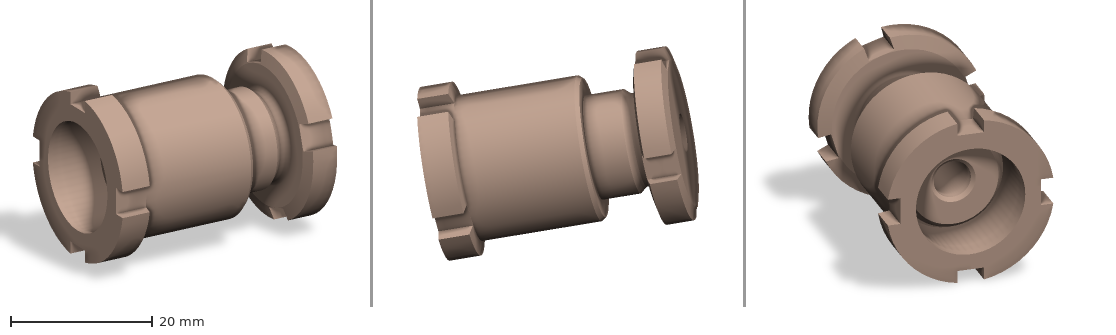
import cadquery as cq
import math

overall_length = 35.93
rim_radius = 12.5
rim_thickness = 5.03
rim_bevel_angle = 15.0
slot_width = 4.0
slot_floor_radius = 10.5
slot_count = 4

sleeve_length = 23.0
sleeve_radius = slot_floor_radius
sleeve_chamfer_length = 0.6
sleeve_chamfer_depth = 0.5
counterbore_radius = 8.15
counterbore_depth = 10.05

shank_radius = 7.5
neck_radius = 6.72
neck_fillet = 0.57
neck_length = 0.8
neck_run_out_length = 0.4
neck_run_out_radius = 6.97
shank_chamfer_length = 0.6
tip_position = 7.75
hole_radius = 2.75
hole_chamfer = 0.55
head_turn_angle = 17.0

bevel_depth = rim_radius - slot_floor_radius
bevel_length = bevel_depth * math.tan(math.radians(rim_bevel_angle))


def revolve_about_y(profile):
    """Turn a closed (radius, y) profile around the Y axis."""
    return profile.close().revolve(360, (0, 0, 0), (0, 1, 0))


def cut_spanner_slots(body, start_y, turn_angle):
    """Cut equally spaced spanner slots through a rim that starts at start_y."""
    slot_depth = rim_radius
    slot = cq.Workplane("XY").box(
        slot_width, rim_thickness, slot_depth, centered=(True, False, False)
    ).translate((0, start_y, slot_floor_radius))
    for index in range(slot_count):
        angle = index * 360 / slot_count - turn_angle
        body = body.cut(slot.rotate((0, 0, 0), (0, 1, 0), angle))
    return body


def make_sleeve():
    """Slotted collar and cylinder with a shank bore and a front counterbore."""
    profile = (
        cq.Workplane("XY")
        .moveTo(counterbore_radius, 0)
        .lineTo(rim_radius, 0)
        .lineTo(rim_radius, rim_thickness - bevel_length)
        .lineTo(sleeve_radius, rim_thickness)
        .lineTo(sleeve_radius, sleeve_length - sleeve_chamfer_length)
        .lineTo(sleeve_radius - sleeve_chamfer_depth, sleeve_length)
        .lineTo(shank_radius, sleeve_length)
        .lineTo(shank_radius, counterbore_depth)
        .lineTo(counterbore_radius, counterbore_depth)
    )
    return cut_spanner_slots(revolve_about_y(profile), 0, 0)


def make_spindle():
    """Slotted head, undercut neck and shank with a through hole; the tip tapers like the neck end."""
    head_front = overall_length - rim_thickness
    head_face_radius = rim_radius - bevel_depth
    neck_end = head_front - neck_fillet
    neck_start = neck_end - neck_length
    run_out_start = neck_start - neck_run_out_length
    shank_end = run_out_start - shank_chamfer_length
    fillet_inset = neck_fillet * (1 - math.sqrt(0.5))
    tip_run_out_end = tip_position + neck_run_out_length
    profile = (
        cq.Workplane("XY")
        .moveTo(hole_radius + hole_chamfer, tip_position)
        .lineTo(neck_radius, tip_position)
        .lineTo(neck_run_out_radius, tip_run_out_end)
        .lineTo(shank_radius, tip_run_out_end + shank_chamfer_length)
        .lineTo(shank_radius, shank_end)
        .lineTo(neck_run_out_radius, run_out_start)
        .lineTo(neck_radius, neck_start)
        .lineTo(neck_radius, neck_end)
        .threePointArc(
            (neck_radius + fillet_inset, head_front - fillet_inset),
            (neck_radius + neck_fillet, head_front),
        )
        .lineTo(head_face_radius, head_front)
        .lineTo(rim_radius, head_front + bevel_length)
        .lineTo(rim_radius, overall_length - bevel_length)
        .lineTo(head_face_radius, overall_length)
        .lineTo(hole_radius, overall_length)
        .lineTo(hole_radius, tip_position + hole_chamfer)
    )
    return cut_spanner_slots(revolve_about_y(profile), head_front, head_turn_angle)


sleeve = make_sleeve()
spindle = make_spindle()

result = cq.Compound.makeCompound([sleeve.val(), spindle.val()])